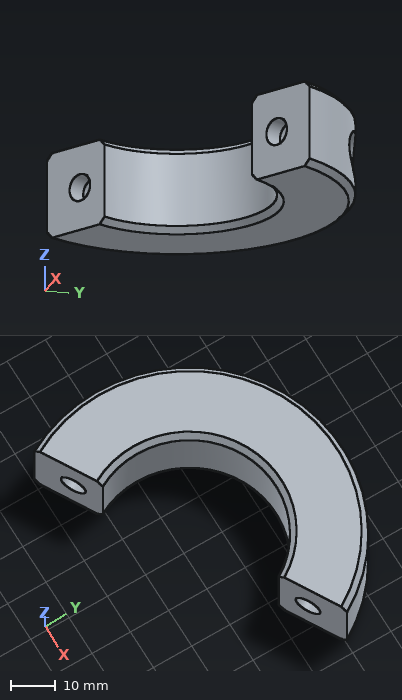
import cadquery as cq
import math

length_x = 74.4
inner_radius = 22.5
height = 19.9
chamfer = 1.5
split_angle = 30.0
split_gap = 0.5

tilt_cos = math.cos(math.radians(split_angle))
tilt_sin = math.sin(math.radians(split_angle))
reach = length_x + tilt_sin * split_gap
outer_radius = (reach - tilt_cos * math.sqrt(reach**2 - (tilt_sin * split_gap) ** 2)) / tilt_sin**2

screw_offset = 30.0
screw_diameter = 6.25
head_diameter = 11.0
head_seat = 5.0


def ring_half():
    """Chamfered ring with only the +Y side of the cut plane kept."""
    ring = cq.Workplane("XY").circle(outer_radius).circle(inner_radius).extrude(height / 2, both=True)
    ring = ring.edges("%CIRCLE").chamfer(chamfer)
    keep = cq.Workplane("XY").box(
        2 * outer_radius, outer_radius, height, centered=(True, False, True)
    )
    return ring.intersect(keep.translate((0, split_gap, 0)))


def bore(x, diameter, start):
    """Cylinder along +Y from y = start out past the rim."""
    plane = cq.Workplane("XZ", origin=(x, start, 0))
    return plane.circle(diameter / 2).extrude(-(outer_radius - start))


half = ring_half()
for side in (-1, 1):
    hole_x = side * screw_offset
    half = half.cut(bore(hole_x, screw_diameter, 0))
    half = half.cut(bore(hole_x, head_diameter, head_seat))

result = half.rotate((0, 0, 0), (0, 0, 1), split_angle)